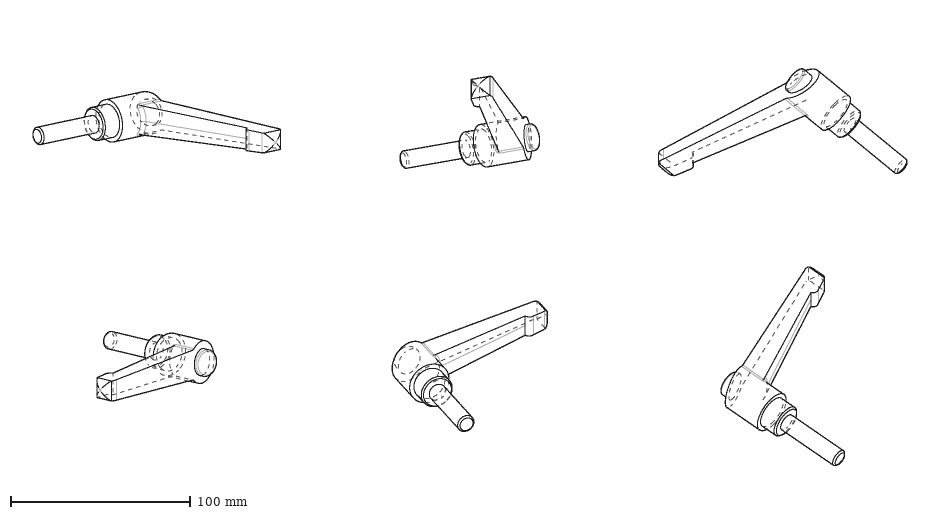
import cadquery as cq
import math


hub_radius = 12.1
hub_top_left = 24.2
sleeve_radius = 9.5
sleeve_length = 11.0
sleeve_chamfer = 0.9
stud_radius = 5.0
stud_length = 40.0
stud_chamfer = 1.0
button_radius = 7.6
button_top = 31.9
button_fillet = 0.8

top_slope = math.radians(15.9)
under_slope = math.radians(19.8)
side_taper = math.radians(2)
root_half_width = 8.8
root_under_y = 11.1
ridge_drop = 1.0
junction_fillet = 2.6

length_x = 104.1
tip_x = length_x - hub_radius
tip_depth = 3.1
notch_x = 75.7
stop_bottom = (77.9, 36.3)
stop_end = (79.8, 36.6)
corner_start_x = 85.0
corner_top = (87.4, 52.4)
corner_end_y = 52.0
tip_mid_y = 46.0
tip_bottom_x = 88.1

cap_x = tip_x - tip_depth
blank_height = 52
clearance = 1


def top_y(x):
    """Height of the sloped top plane of hub and arm."""
    return hub_top_left + (x + hub_radius) * math.tan(top_slope)


def under_y(x):
    """Height of the lower side edges of the arm."""
    return root_under_y + x * math.tan(under_slope)


def half_width(x):
    """Half width of the tapering arm."""
    return root_half_width - x * math.tan(side_taper)


def disc(radius, y_start, y_end):
    """Cylinder on the Y axis, with its seam on the -X side, away from the arm."""
    return (
        cq.Workplane("XY")
        .moveTo(0, y_start)
        .lineTo(-radius, y_start)
        .lineTo(-radius, y_end)
        .lineTo(0, y_end)
        .close()
        .revolve(360, (0, 0, 0), (0, 1, 0))
    )


def arm_section(x, drop):
    """Cross-section of the overtall bar, with a ridge along the middle of its underside."""
    side = half_width(x)
    corners = [
        (x, blank_height, side),
        (x, blank_height, -side),
        (x, under_y(x), -side),
        (x, under_y(x) - drop, 0),
        (x, under_y(x), side),
    ]
    return cq.Wire.makePolygon([cq.Vector(*corner) for corner in corners], close=True)


def make_bar():
    """Straight part of the arm; the ridge fades out at the finger stop."""
    sections = [arm_section(0, ridge_drop), arm_section(notch_x, 0)]
    return cq.Workplane(obj=cq.Solid.makeLoft(sections, True))


def make_head():
    """Grip end with the finger stop below and a tip rounded in both directions."""
    tip_bottom_y = stop_end[1] + (tip_bottom_x - stop_end[0]) * math.tan(under_slope)
    side_profile = (
        cq.Workplane("XY", origin=(0, 0, -root_half_width))
        .moveTo(notch_x, top_y(notch_x))
        .lineTo(notch_x, under_y(notch_x))
        .threePointArc(stop_bottom, stop_end)
        .lineTo(tip_bottom_x, tip_bottom_y)
        .threePointArc((tip_x, tip_mid_y), (cap_x, corner_end_y))
        .threePointArc(corner_top, (corner_start_x, top_y(corner_start_x)))
        .close()
        .extrude(2 * root_half_width)
    )
    plan_profile = (
        cq.Workplane("XZ")
        .moveTo(notch_x, -half_width(notch_x))
        .lineTo(cap_x, -half_width(cap_x))
        .threePointArc((tip_x, 0), (cap_x, half_width(cap_x)))
        .lineTo(notch_x, half_width(notch_x))
        .close()
        .extrude(-length_x)
    )
    return side_profile.intersect(plan_profile)


def make_sloped_top_cut():
    """Everything above the sloped top plane, wide enough to clear hub and bar."""
    left = -hub_radius - clearance
    return (
        cq.Workplane("XY", origin=(0, 0, -hub_radius - clearance))
        .moveTo(left, top_y(left))
        .lineTo(length_x, top_y(length_x))
        .lineTo(length_x, 2 * blank_height)
        .lineTo(left, 2 * blank_height)
        .close()
        .extrude(2 * (hub_radius + clearance))
    )


def make_hub_and_bar():
    """Hub and bar blended together, with one sloped plane across both."""
    junction = cq.selectors.BoxSelector(
        (hub_radius / 2, under_y(0), -hub_radius),
        (hub_radius + clearance, blank_height - clearance, hub_radius),
    )
    return (
        disc(hub_radius, 0, blank_height)
        .union(make_bar())
        .edges(junction)
        .fillet(junction_fillet)
        .cut(make_sloped_top_cut())
    )


def make_sleeve():
    """Chamfered collar below the hub."""
    return disc(sleeve_radius, -sleeve_length, 0).faces("<Y").chamfer(sleeve_chamfer)


def make_stud():
    """Plain stud below the sleeve."""
    stud_end = -sleeve_length - stud_length
    return disc(stud_radius, stud_end, 0).faces("<Y").chamfer(stud_chamfer)


def make_button():
    """Release button standing out of the sloped hub top."""
    return disc(button_radius, 0, button_top).faces(">Y").fillet(button_fillet)


result = (
    make_hub_and_bar()
    .union(make_head())
    .union(make_sleeve())
    .union(make_stud())
    .union(make_button())
)